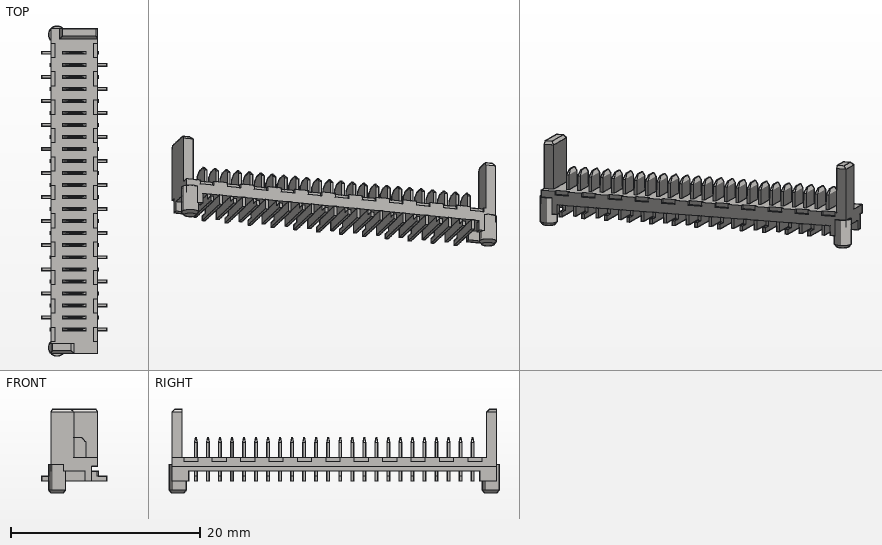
import cadquery as cq

overall_length = 34.87
body_width = 4.95
body_length = 34.3
body_bottom = 1.05
body_top = 2.5
side_x = body_width / 2
end_y = body_length / 2
undercut_x = 1.85
undercut_top = 1.57

notch_count = 11
notch_pitch = 3.0
notch_length = 1.5
notch_size = 0.42
notch_center_y = -0.15

post_base = undercut_top
post_top = 7.6
post_thickness = 1.08
post_chamfer = 0.3
post_side_chamfer = 0.17
front_post_inner_x = -0.05
back_post_inner_x = -1.55

peg_diameter = 1.8
peg_x = -1.8
peg_y = overall_length / 2 - peg_diameter / 2
peg_bottom = -1.25
peg_top = 1.78
peg_tip_radius = 0.65
peg_tip_height = 0.3

foot_inner_y = 15.35
foot_width = 0.73

pin_count = 24
pin_row_length = 29.22
pin_pitch = pin_row_length / (pin_count - 1)
pin_thickness = 0.3
blade_half_width = 1.25
blade_top = 4.6
bevel_height = 0.52
blade_left_bevel = 0.73
blade_right_bevel = 0.45
ridge_thickness = 0.1
lead_reach = 3.45
lead_height = 0.52
lead_shoulder_x = 2.4
stub_x = 2.58


def box(x0, x1, y0, y1, z0, z1):
    """Box between two opposite corners."""
    return cq.Workplane("XY").box(x1 - x0, y1 - y0, z1 - z0, centered=False).translate((x0, y0, z0))


def make_body():
    """Bar with the +X undercut and the rows of edge notches."""
    body = box(-side_x, side_x, -end_y, end_y, body_bottom, body_top)
    body = body.cut(box(undercut_x, side_x, -end_y, end_y, body_bottom, undercut_top))
    for i in range(notch_count):
        y = notch_center_y + (i - (notch_count - 1) / 2) * notch_pitch
        y0 = y - notch_length / 2
        y1 = y + notch_length / 2
        for x in (-side_x, side_x - notch_size):
            body = body.cut(box(x, x + notch_size, y0, y1, body_top - notch_size, body_top))
    return body


def make_post(x0, x1, y0, left_chamfer, right_chamfer):
    """Upright post with its top chamfered at -X, +X and -Y."""
    y1 = y0 + post_thickness
    shoulder = post_top - post_chamfer
    front_outline = (
        cq.Workplane("XZ", origin=(0, y1, 0))
        .moveTo(x0, post_base)
        .lineTo(x1, post_base)
        .lineTo(x1, shoulder)
        .lineTo(x1 - right_chamfer, post_top)
        .lineTo(x0 + left_chamfer, post_top)
        .lineTo(x0, shoulder)
        .close()
        .extrude(post_thickness)
    )
    side_outline = (
        cq.Workplane("YZ", origin=(x0, 0, 0))
        .moveTo(y0, post_base)
        .lineTo(y1, post_base)
        .lineTo(y1, post_top)
        .lineTo(y0 + post_chamfer, post_top)
        .lineTo(y0, shoulder)
        .close()
        .extrude(x1 - x0)
    )
    return front_outline.intersect(side_outline)


def make_peg(y):
    """Round peg with a tapered tip."""
    radius = peg_diameter / 2
    return (
        cq.Workplane("YZ")
        .moveTo(0, peg_bottom)
        .lineTo(peg_tip_radius, peg_bottom)
        .lineTo(radius, peg_bottom + peg_tip_height)
        .lineTo(radius, peg_top)
        .lineTo(0, peg_top)
        .close()
        .revolve(360, (0, 0, 0), (0, 1, 0))
        .translate((peg_x, y, 0))
    )


def make_feet(side):
    """Two feet under one end; side is -1 for the -Y end and 1 for the +Y end."""
    left_y = sorted((side * foot_inner_y, side * peg_y))
    right_y = sorted((side * foot_inner_y, side * end_y))
    left = box(-side_x, -side_x + foot_width, *left_y, 0, body_bottom)
    right = box(undercut_x - foot_width, undercut_x, *right_y, 0, body_bottom)
    return left, right


def make_blade():
    """Upper contact blade centred on Y = 0, bevelled to a ridge."""
    shoulder = blade_top - bevel_height
    outline = (
        cq.Workplane("XZ", origin=(0, pin_thickness / 2, 0))
        .moveTo(-blade_half_width, body_bottom)
        .lineTo(blade_half_width, body_bottom)
        .lineTo(blade_half_width, shoulder)
        .lineTo(blade_half_width - blade_right_bevel, blade_top)
        .lineTo(-blade_half_width + blade_left_bevel, blade_top)
        .lineTo(-blade_half_width, shoulder)
        .close()
        .extrude(pin_thickness)
    )
    section = (
        cq.Workplane("YZ", origin=(-blade_half_width, 0, 0))
        .moveTo(-pin_thickness / 2, body_bottom)
        .lineTo(pin_thickness / 2, body_bottom)
        .lineTo(pin_thickness / 2, shoulder)
        .lineTo(ridge_thickness / 2, blade_top)
        .lineTo(-ridge_thickness / 2, blade_top)
        .lineTo(-pin_thickness / 2, shoulder)
        .close()
        .extrude(2 * blade_half_width)
    )
    return outline.intersect(section)


def make_tail(direction):
    """Lower plate of a pin; its lead points along direction * X."""
    return (
        cq.Workplane("XZ", origin=(0, pin_thickness / 2, 0))
        .moveTo(-direction * stub_x, 0)
        .lineTo(direction * lead_reach, 0)
        .lineTo(direction * lead_reach, lead_height)
        .lineTo(direction * lead_shoulder_x, lead_height)
        .lineTo(direction * lead_shoulder_x, body_bottom)
        .lineTo(-direction * stub_x, body_bottom)
        .close()
        .extrude(pin_thickness)
    )


result = make_body()

front_post = make_post(-side_x, front_post_inner_x, -end_y, post_side_chamfer, post_chamfer)
back_post = make_post(back_post_inner_x, side_x, end_y - post_thickness, post_chamfer, post_side_chamfer)
result = result.union(front_post).union(back_post)

for side in (-1, 1):
    result = result.union(make_peg(side * peg_y))
    for foot in make_feet(side):
        result = result.union(foot)

blade = make_blade()
for i in range(pin_count):
    y = (i - (pin_count - 1) / 2) * pin_pitch
    direction = 1 if i % 2 == 0 else -1
    result = result.union(blade.translate((0, y, 0)))
    result = result.union(make_tail(direction).translate((0, y, 0)))